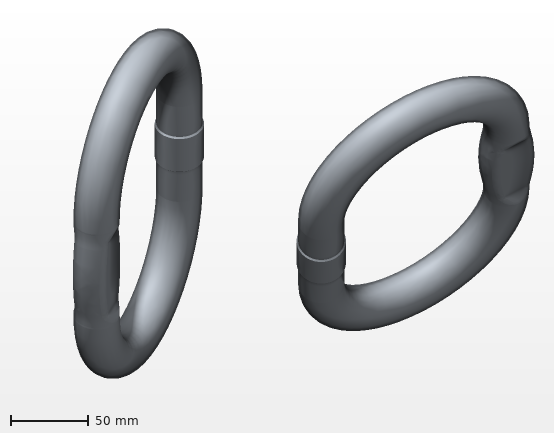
import cadquery as cq
import math

length = 249.8
bar_diameter = 30.0
bend_radius = 70.0
bar_radius = bar_diameter / 2
leg_half_length = length / 2 - bend_radius - bar_radius

sleeve_diameter = 32.0
sleeve_length = 29.5
sleeve_chamfer = 1.0

swell_radius = 18.2
swell_half_length = 38.7
swell_crown_half_length = 27.5
flat_offset = 11.5
flat_half_length = 30.0
ramp_end = 38.5
blend_radius = 5.5
cutter_reach = 25.0


def make_bend(side):
    """Half ring joining the ends of both legs: above them for side 1, below for side -1."""
    start = leg_half_length * side
    middle = start + bend_radius * side
    path = (
        cq.Workplane("YZ")
        .moveTo(bend_radius, start)
        .threePointArc((0, middle), (-bend_radius, start))
    )
    return (
        cq.Workplane("XY", origin=(0, bend_radius, start))
        .circle(bar_radius)
        .sweep(path)
    )


def make_plain_leg():
    """Straight +Y leg with its chamfered sleeve, centred on the Z axis."""
    leg = cq.Workplane("XY").cylinder(2 * leg_half_length, bar_radius)
    sleeve = (
        cq.Workplane("XY")
        .cylinder(sleeve_length, sleeve_diameter / 2)
        .faces("|Z")
        .edges()
        .chamfer(sleeve_chamfer)
    )
    return leg.union(sleeve)


def make_swollen_bar():
    """Barrel about the Z axis whose crown arc runs tangentially into the bar at both ends."""
    rise = swell_radius - bar_radius
    half_angle = 2 * math.atan(rise / swell_half_length)
    crown_arc_radius = swell_crown_half_length / math.sin(half_angle)
    crown_edge_radius = swell_radius - crown_arc_radius * (1 - math.cos(half_angle))
    return (
        cq.Workplane("XZ")
        .moveTo(0, -leg_half_length)
        .lineTo(bar_radius, -leg_half_length)
        .lineTo(bar_radius, -swell_half_length)
        .tangentArcPoint((crown_edge_radius, -swell_crown_half_length), relative=False)
        .threePointArc((swell_radius, 0), (crown_edge_radius, swell_crown_half_length))
        .tangentArcPoint((bar_radius, swell_half_length), relative=False)
        .lineTo(bar_radius, leg_half_length)
        .lineTo(0, leg_half_length)
        .close()
        .revolve(360, (0, 0, 0), (0, 1, 0))
    )


def make_flat_cutter():
    """Material above the +X flat and the ramps that rise from its ends to the bar's surface."""
    ramp_slope = (bar_radius - flat_offset) / (ramp_end - flat_half_length)
    outer_z = flat_half_length + (cutter_reach - flat_offset) / ramp_slope
    return (
        cq.Workplane("XZ")
        .polyline(
            [
                (flat_offset, -flat_half_length),
                (flat_offset, flat_half_length),
                (cutter_reach, outer_z),
                (cutter_reach, -outer_z),
            ]
        )
        .close()
        .extrude(cutter_reach, both=True)
        .edges("|Y and <X")
        .fillet(blend_radius)
    )


def make_grip_leg():
    """Swollen -Y leg with two blended flats, centred on the Z axis."""
    cutter = make_flat_cutter()
    leg = make_swollen_bar().cut(cutter).cut(cutter.mirror("YZ"))
    return leg.faces("|X").edges().fillet(blend_radius)


result = (
    make_bend(1)
    .union(make_bend(-1))
    .union(make_plain_leg().translate((0, bend_radius, 0)))
    .union(make_grip_leg().translate((0, -bend_radius, 0)))
)